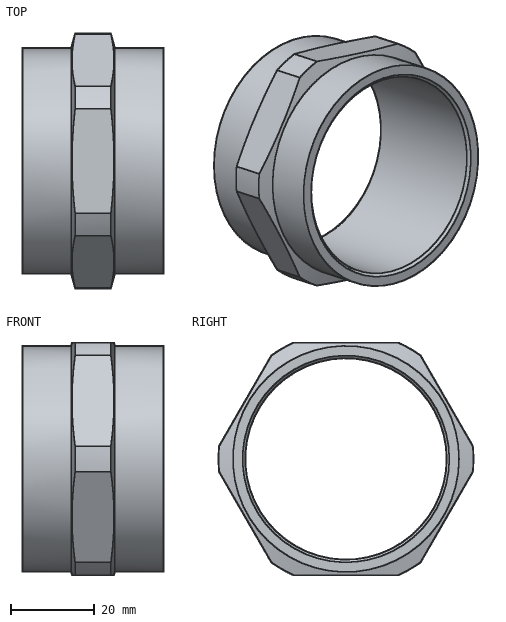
import cadquery as cq
import math

length = 34.0
tube_diameter = 54.4
bore_diameter = 48.35
collar_width = 10.55
across_flats = 56.0
across_corners = 61.4
collar_bevel = 1.0
bore_chamfer = 0.7

tube_radius = tube_diameter / 2
corner_radius = across_corners / 2
half_collar = collar_width / 2
half_rim = half_collar - collar_bevel


def tube_blank():
    return cq.Workplane("YZ").circle(tube_radius).extrude(length / 2, both=True)


def hex_collar():
    """Hexagon with its corners turned round and bevelled down to the tube."""
    sharp_diameter = across_flats / math.cos(math.pi / 6)
    hexagon = cq.Workplane("YZ").polygon(6, sharp_diameter).extrude(half_collar, both=True)
    turned_profile = [
        (-half_collar, 0),
        (-half_collar, tube_radius),
        (-half_rim, corner_radius),
        (half_rim, corner_radius),
        (half_collar, tube_radius),
        (half_collar, 0),
    ]
    turned = cq.Workplane("XY").polyline(turned_profile).close().revolve(360, (0, 0), (1, 0))
    return hexagon.intersect(turned)


def bore_cutter():
    """Through bore, chamfered at both mouths."""
    bore_radius = bore_diameter / 2
    mouth_radius = bore_radius + bore_chamfer
    profile = [
        (-length / 2, 0),
        (-length / 2, mouth_radius),
        (-length / 2 + bore_chamfer, bore_radius),
        (length / 2 - bore_chamfer, bore_radius),
        (length / 2, mouth_radius),
        (length / 2, 0),
    ]
    return cq.Workplane("XY").polyline(profile).close().revolve(360, (0, 0), (1, 0))


result = tube_blank().union(hex_collar()).cut(bore_cutter())